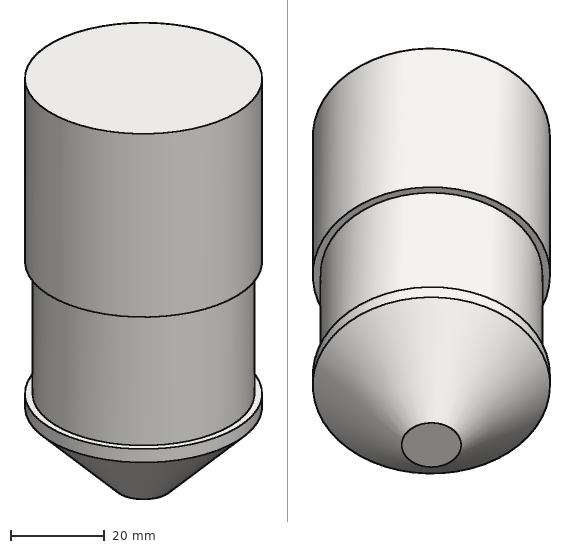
import cadquery as cq

total_height = 98.55
body_diameter = 50.8
neck_diameter = 47.5
tip_diameter = 12.7
cone_height = 19.0
flange_height = 3.3
neck_height = 31.9

body_radius = body_diameter / 2
neck_radius = neck_diameter / 2
tip_radius = tip_diameter / 2
flange_top = cone_height + flange_height
neck_top = flange_top + neck_height

result = (
    cq.Workplane("XZ")
    .moveTo(0, 0)
    .lineTo(tip_radius, 0)
    .lineTo(body_radius, cone_height)
    .lineTo(body_radius, flange_top)
    .lineTo(neck_radius, flange_top)
    .lineTo(neck_radius, neck_top)
    .lineTo(body_radius, neck_top)
    .lineTo(body_radius, total_height)
    .lineTo(0, total_height)
    .close()
    .revolve(360, (0, 0, 0), (0, 1, 0))
)